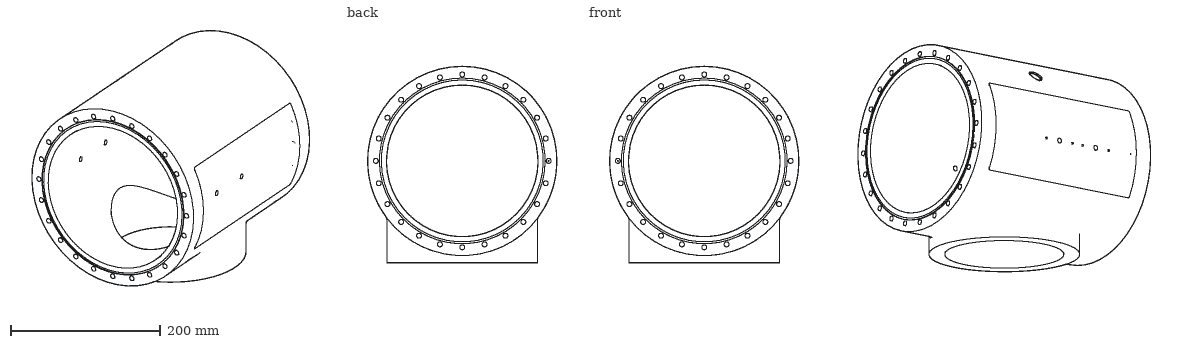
import cadquery as cq
import math

tube_length = 300.0
tube_diameter = 254.0
bore_diameter = 203.0

total_height = 264.0
branch_diameter = 202.5
branch_bore_diameter = 160.0
branch_fillet = 4.5

flat_height = 120.0
end_wall = 25.5
flat_end_fillet = 1.5

groove_diameter = 222.3
groove_depth = 1.35
crest_diameter = 217.2
crest_depth = 0.45

bolt_count = 24
bolt_circle_diameter = 232.0
bolt_hole_diameter = 6.5
bolt_hole_depth = 23.7
drill_point_angle = 118.0
flat_bottomed_hole = 0

port_y = 22.0
port_angle = 45.0
port_diameter = 16.0
port_counterbore_diameter = 19.2
port_counterbore_depth = 2.0

cross_hole_positions = (-1.2, -65.5)
cross_hole_diameter = 6.5
small_hole_offset = 23.0
small_hole_diameter = 2.45
small_hole_depth = 7.5

tube_radius = tube_diameter / 2
branch_length = total_height - tube_radius
flat_x = math.sqrt(tube_radius**2 - (flat_height / 2) ** 2)
flat_length = tube_length - 2 * end_wall
front_face_y = -tube_length / 2

ALONG_X = (1, 0, 0)
ALONG_Y = (0, 1, 0)
DOWN = (0, 0, -1)


def cylinder(start, direction, diameter, length):
    solid = cq.Solid.makeCylinder(diameter / 2, length, cq.Vector(*start), cq.Vector(*direction))
    return cq.Workplane(solid)


def cone(start, direction, start_diameter, end_diameter, length):
    solid = cq.Solid.makeCone(
        start_diameter / 2, end_diameter / 2, length, cq.Vector(*start), cq.Vector(*direction)
    )
    return cq.Workplane(solid)


def outer_body():
    """Tube and branch as solid cylinders, blended where they meet."""
    tube = cylinder((0, front_face_y, 0), ALONG_Y, tube_diameter, tube_length)
    branch = cylinder((0, 0, 0), DOWN, branch_diameter, branch_length)
    junction = cq.selectors.BoxSelector(
        (-tube_radius, -tube_radius, -tube_radius - branch_fillet),
        (tube_radius, tube_radius, 0),
        boundingbox=True,
    )
    return tube.union(branch).edges(junction).fillet(branch_fillet)


def flat_cutter():
    """Block that mills the flat on the +X side."""
    block_depth = tube_radius
    block = cq.Workplane("XY").box(block_depth, flat_length, tube_diameter)
    block = block.faces("<X").edges("|Z").fillet(flat_end_fillet)
    return block.translate((flat_x + block_depth / 2, 0, 0))


def groove_cutter():
    """Sealing groove of the -Y end face, including the recess inside its crest."""
    crest = cone(
        (0, front_face_y + crest_depth, 0),
        ALONG_Y,
        crest_diameter,
        groove_diameter,
        groove_depth - crest_depth,
    )
    return cylinder((0, front_face_y, 0), ALONG_Y, groove_diameter, groove_depth).cut(crest)


def bolt_hole_cutter(index):
    """One bolt hole of the -Y end face."""
    angle = 2 * math.pi * index / bolt_count
    x = bolt_circle_diameter / 2 * math.cos(angle)
    z = bolt_circle_diameter / 2 * math.sin(angle)
    hole = cylinder((x, front_face_y, z), ALONG_Y, bolt_hole_diameter, bolt_hole_depth)
    if index == flat_bottomed_hole:
        return hole
    point_length = bolt_hole_diameter / 2 / math.tan(math.radians(drill_point_angle / 2))
    point_start = (x, front_face_y + bolt_hole_depth, z)
    return hole.union(cone(point_start, ALONG_Y, bolt_hole_diameter, 0, point_length))


def cut_both_ends(body, cutter):
    return body.cut(cutter).cut(cutter.mirror("XZ"))


def cut_port(body):
    angle = math.radians(port_angle)
    direction = (-math.cos(angle), 0, math.sin(angle))
    floor_radius = tube_radius - port_counterbore_depth
    floor_centre = (floor_radius * direction[0], port_y, floor_radius * direction[2])
    body = body.cut(cylinder((0, port_y, 0), direction, port_diameter, tube_radius))
    return body.cut(cylinder(floor_centre, direction, port_counterbore_diameter, tube_radius))


def cut_cross_holes(body):
    for y in cross_hole_positions:
        body = body.cut(cylinder((-tube_radius, y, 0), ALONG_X, cross_hole_diameter, tube_diameter))
        for offset in (-small_hole_offset, small_hole_offset):
            start = (-flat_x, y + offset, 0)
            body = body.cut(cylinder(start, ALONG_X, small_hole_diameter, small_hole_depth))
    return body


body = outer_body()
right_flat = flat_cutter()
body = body.cut(right_flat).cut(right_flat.mirror("YZ"))

body = body.cut(cylinder((0, front_face_y, 0), ALONG_Y, bore_diameter, tube_length))
body = body.cut(cylinder((0, 0, 0), DOWN, branch_bore_diameter, branch_length))

body = cut_both_ends(body, groove_cutter())
for bolt_index in range(bolt_count):
    body = cut_both_ends(body, bolt_hole_cutter(bolt_index))

body = cut_port(body)
result = cut_cross_holes(body).solids()